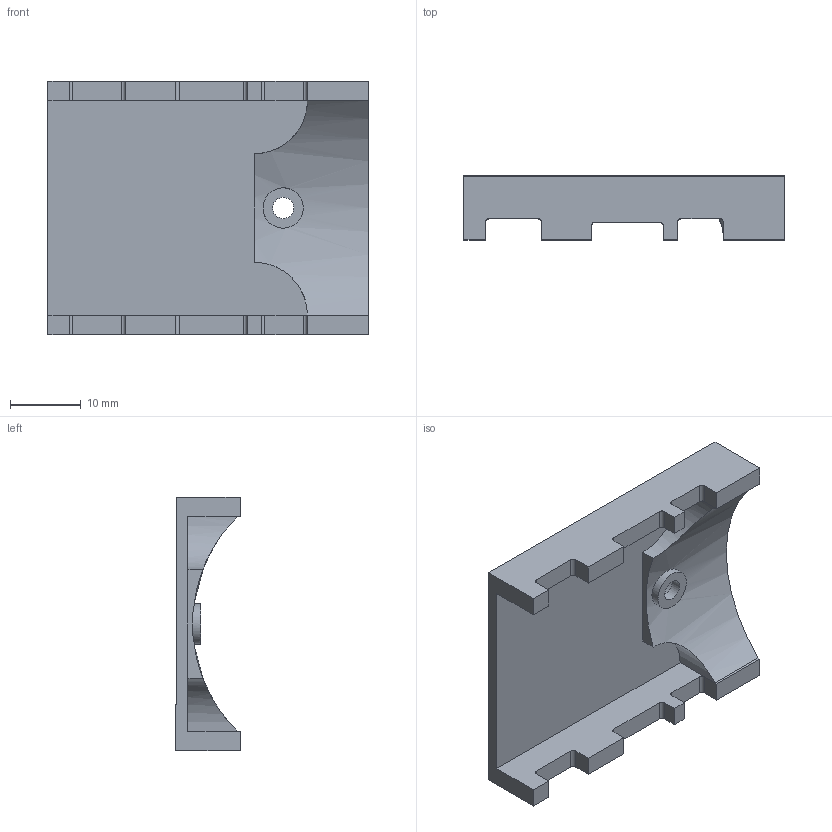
import cadquery as cq

length = 45.4
top_depth = 9.01
bottom_depth = 9.11
height = 36.0
floor_y = 7.4
wall_thickness = 2.8
inner_half_height = height / 2 - wall_thickness

wall_notches = [
    (3.05, 11.0, 3.0),
    (18.1, 28.25, 2.5),
    (30.25, 36.75, 3.0),
]
notch_corner_radius = 0.5

saddle_start = 29.3
saddle_corner_radius = 7.5
seat_bottom_y = 6.75
seat_edge_y = 0.4
seat_sagitta = seat_bottom_y - seat_edge_y
seat_radius = (inner_half_height**2 + seat_sagitta**2) / (2 * seat_sagitta)
seat_axis_y = seat_bottom_y - seat_radius

boss_x = 33.35
boss_diameter = 5.7
boss_top_y = 5.55
screw_hole_diameter = 3.0
screw_hole_length = 1.5
head_recess_y = boss_top_y + screw_hole_length


def block(start_x, end_x, start_y, end_y, block_height):
    """Box between the given X and Y limits, centred on Z = 0."""
    size_x = end_x - start_x
    size_y = end_y - start_y
    box = cq.Workplane("XY").box(size_x, size_y, block_height, centered=(False, False, True))
    return box.translate((start_x, start_y, 0))


def cylinder_along_y(x, z, diameter, start_y, end_y):
    """Cylinder parallel to Y between two Y positions."""
    disc = cq.Workplane("XZ", origin=(x, start_y, z)).circle(diameter / 2)
    return disc.extrude(start_y - end_y)


def make_tray():
    """Channel along X with a slightly leaning back face."""
    profile = [
        (0, -height / 2),
        (bottom_depth, -height / 2),
        (top_depth, height / 2),
        (0, height / 2),
    ]
    body = cq.Workplane("YZ").polyline(profile).close().extrude(length)
    return body.cut(block(0, length, 0, floor_y, 2 * inner_half_height))


def make_notch(start_x, end_x, notch_depth):
    """Notch cutter spanning both walls, with rounded inner corners."""
    cutter = block(start_x, end_x, 0, notch_depth, height)
    return cutter.faces(">Y").edges("|Z").fillet(notch_corner_radius)


def make_saddle():
    """Block between the walls with a concave seat and two scooped corners."""
    saddle = block(saddle_start, length, 0, floor_y, 2 * inner_half_height)
    seat = cq.Workplane("YZ").center(seat_axis_y, 0).circle(seat_radius).extrude(length)
    saddle = saddle.cut(seat)
    for side in (-1, 1):
        corner_z = side * inner_half_height
        corner = cylinder_along_y(saddle_start, corner_z, 2 * saddle_corner_radius, 0, floor_y)
        saddle = saddle.cut(corner)
    return saddle


def add_screw_boss(body):
    """Add the boss, then cut its screw hole and the head recess behind it."""
    boss = cylinder_along_y(boss_x, 0, boss_diameter, boss_top_y, floor_y)
    screw_hole = cylinder_along_y(boss_x, 0, screw_hole_diameter, 0, bottom_depth)
    head_recess = cylinder_along_y(boss_x, 0, boss_diameter, head_recess_y, bottom_depth)
    return body.union(boss).cut(screw_hole).cut(head_recess)


result = make_tray()
for notch_start, notch_end, notch_depth in wall_notches:
    result = result.cut(make_notch(notch_start, notch_end, notch_depth))
result = result.union(make_saddle())
result = add_screw_boss(result)